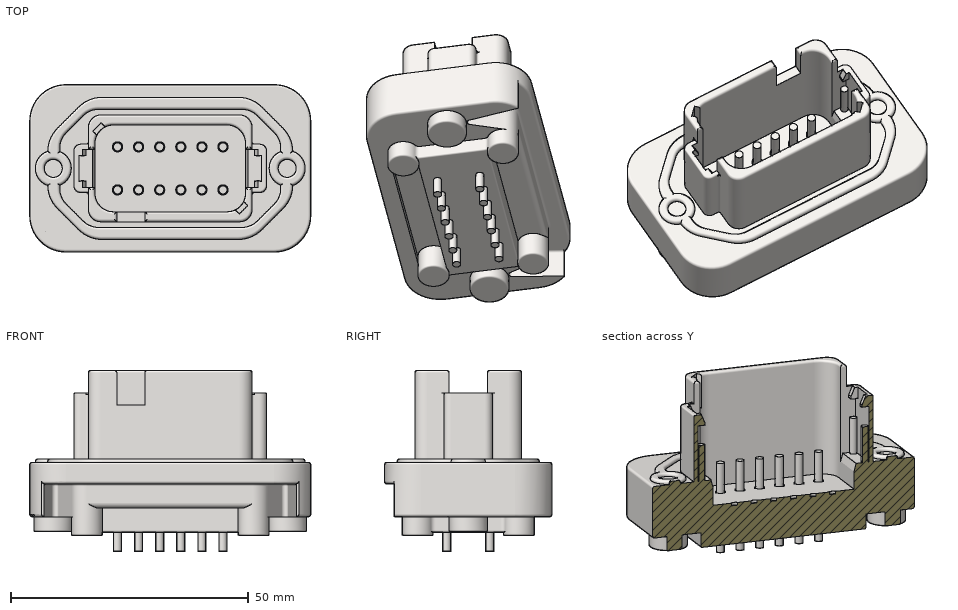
import cadquery as cq
import math


flange_length = 59.2
flange_width = 35.3
flange_height = 11.5
flange_corner = 7.7
edge_round = 0.55

shroud_height = 19.35
shroud_length = 34.45
shroud_width = 22.5
shroud_corner = 2.6
cavity_length = 31.75
cavity_width = 18.3
cavity_corner = 3.9
cavity_floor = -5.6
rim_round = 0.55

housing_height = 14.6
housing_reach = 20.3
housing_width = 10.2
housing_corner = 1.5
housing_root = 0.5
housing_rim_round = 0.35
latch_space_reach = 19.25
latch_space_width = 8.05
latch_sill_width = 0.5
latch_sill_depth = 1.8
latch_gap = 5.3
lug_depth = 1.55
lug_rim = 0.7
lug_base = 12.15
lug_ramp_base = 12.75
post_radius = 0.75
post_height = 7.9

notch_width = 5.9
notch_center_x = -8.3
notch_floor = 12.0
key_width = 2.5
key_depth = 1.0
key_floor = 12.0

pins_per_row = 6
pin_pitch = 4.45
pin_row_spacing = 9.05
pin_diameter = 1.7
pin_top = 0.9
pin_bottom = -18.75
pin_recess_radius = 1.05
pin_recess_depth = 0.6

ridge_height = 0.7
ridge_length = 51.65
ridge_width = 29.95
ridge_outer_cut = 8.6
ridge_inner_cut = 6.3
ridge_outer_bend = 7.1
ridge_inner_bend = 4.55
ridge_band = 2.55
ridge_round = 0.56
screw_x = 24.65
ring_outer = 3.8
ring_inner = 1.9

lip_depth = 4.55
front_setback = 2.0
leg_spacing_x = 35.1
leg_spacing_y = 21.3
leg_diameter = 6.6
leg_bottom = -15.45
boss_radius = 4.1
boss_bottom = -14.6
foot_round = 0.35
web_bottom = -9.65
web_round = 1.05
body_length = 37.3
body_width = 15.4
body_blend = 1.05
body_bottom = -14.75
pocket_mouth_x = 26.65
pocket_tip_x = 24.45
pocket_wall_angle = 22.0
pocket_tip_round = 0.7

leg_x = leg_spacing_x / 2
leg_y = leg_spacing_y / 2
leg_radius = leg_diameter / 2
web_y = leg_y + leg_radius
front_setback_y = front_setback - flange_width / 2


def rounded_block(length, width, corner, bottom, top):
    block = cq.Workplane("XY").workplane(offset=bottom).rect(length, width).extrude(top - bottom)
    return block.edges("|Z").fillet(corner)


def box_between(x0, x1, y0, y1, z0, z1):
    return cq.Workplane("XY").box(x1 - x0, y1 - y0, z1 - z0, centered=False).translate((x0, y0, z0))


def both_ends(solid):
    return solid.union(solid.mirror("YZ"))


def both_sides(solid):
    return solid.union(solid.mirror("XZ"))


def cylinder(x, y, radius, bottom, top):
    return cq.Workplane("XY").workplane(offset=bottom).center(x, y).circle(radius).extrude(top - bottom)


def make_flange():
    """Full plate on top of a skirt that is set back and opened at the front."""
    plate = rounded_block(flange_length, flange_width, flange_corner, -lip_depth, 0)
    plate = plate.faces(">Z or <Z").edges().fillet(edge_round)
    skirt = rounded_block(flange_length, flange_width, flange_corner, -flange_height, -edge_round)
    skirt = skirt.faces("<Z").edges().fillet(edge_round)
    beyond_x = flange_length / 2 + edge_round
    beyond_y = -flange_width / 2 - edge_round
    opening = box_between(-beyond_x, beyond_x, beyond_y, front_setback_y, -flange_height, -lip_depth)
    opening = opening.union(box_between(-leg_x, leg_x, beyond_y, -web_y, -flange_height, -lip_depth))
    opening = opening.union(both_ends(corner_pocket())).faces(">Z").edges().fillet(edge_round)
    setback = box_between(-beyond_x, beyond_x, beyond_y, front_setback_y, -flange_height, 0)
    return plate.union(skirt.cut(setback).cut(opening)).cut(make_belly_recess())


def corner_pocket():
    """V-shaped pocket outside a leg, open to the front and below the lip."""
    angle = math.radians(pocket_wall_angle)
    tangent_x = leg_x + leg_radius * math.cos(angle)
    tangent_y = -leg_y - leg_radius * math.sin(angle)
    tip_y = tangent_y + (pocket_tip_x - tangent_x) / math.tan(angle)
    arc_middle = (angle + math.pi / 2) / 2
    pocket = (
        cq.Workplane("XY").workplane(offset=-flange_height)
        .moveTo(tangent_x, tangent_y)
        .lineTo(pocket_tip_x, tip_y)
        .lineTo(pocket_mouth_x, front_setback_y)
        .lineTo(leg_x, front_setback_y)
        .lineTo(leg_x, -web_y)
        .threePointArc(
            (leg_x + leg_radius * math.cos(arc_middle), -leg_y - leg_radius * math.sin(arc_middle)),
            (tangent_x, tangent_y),
        )
        .close().extrude(flange_height - lip_depth)
    )
    tip_edge = cq.selectors.NearestToPointSelector((pocket_tip_x, tip_y, -(flange_height + lip_depth) / 2))
    return pocket.edges(tip_edge).fillet(pocket_tip_round)


def make_belly_recess():
    """Shallow recess between the legs, which leaves the web with a rounded front edge."""
    recess = box_between(-leg_x, leg_x, -web_y, web_y, -flange_height, web_bottom)
    edge_bar = box_between(-leg_x, leg_x, -web_y, -web_y + web_round, web_bottom, web_bottom + web_round)
    edge_roll = (
        cq.Workplane("YZ").center(-web_y + web_round, web_bottom + web_round)
        .circle(web_round).extrude(leg_x, both=True)
    )
    return recess.union(edge_bar.cut(edge_roll))


def make_feet():
    """Body around the pins, four legs and a boss below each screw ring."""
    half_length = body_length / 2
    half_width = body_width / 2
    body = box_between(-half_length, half_length, -half_width, half_width, body_bottom, -lip_depth)
    body = body.union(both_ends(both_sides(cylinder(leg_x, leg_y, leg_radius, body_bottom, -lip_depth))))
    leg_rise = math.sqrt(leg_radius**2 - (half_length - leg_x)**2)
    for end in (-1, 1):
        for side in (-1, 1):
            joint = (end * half_length, side * (leg_y - leg_rise), (body_bottom - lip_depth) / 2)
            body = body.edges(cq.selectors.NearestToPointSelector(joint)).fillet(body_blend)
    body = body.faces("<Z").edges().fillet(foot_round)
    leg = cylinder(leg_x, leg_y, leg_radius, leg_bottom, -lip_depth).faces("<Z").edges().fillet(foot_round)
    boss = cylinder(screw_x, 0, boss_radius, boss_bottom, -lip_depth).faces("<Z").edges().fillet(foot_round)
    return body.union(both_ends(both_sides(leg))).union(both_ends(boss))


def octagon(length, width, corner_cut, bend):
    block = box_between(-length / 2, length / 2, -width / 2, width / 2, 0, ridge_height)
    return block.edges("|Z").chamfer(corner_cut).edges("|Z").fillet(bend)


def make_ridge():
    """Sealing ridge that runs into a small ring around each screw position."""
    outer = octagon(ridge_length, ridge_width, ridge_outer_cut, ridge_outer_bend)
    inner_length = ridge_length - 2 * ridge_band
    inner_width = ridge_width - 2 * ridge_band
    inner = octagon(inner_length, inner_width, ridge_inner_cut, ridge_inner_bend)
    ridge = outer.cut(inner).faces(">Z").edges().fillet(ridge_round)
    ring = cylinder(screw_x, 0, ring_outer, 0, ridge_height)
    ring = ring.cut(cylinder(screw_x, 0, ring_inner, 0, ridge_height))
    ring = ring.faces(">Z").edges().fillet(ridge_round)
    eye = cylinder(screw_x, 0, ring_inner + ridge_round, 0, ridge_height)
    return ridge.cut(both_ends(eye)).union(both_ends(ring))


def make_shroud():
    """Hollow shroud wall with its keying features, open at both ends towards the latch housings."""
    wall = rounded_block(shroud_length, shroud_width, shroud_corner, 0, shroud_height)
    half_space = latch_space_width / 2
    entry = box_between(-shroud_length / 2, shroud_length / 2, -half_space, half_space, 0, shroud_height)
    notch = box_between(notch_center_x - notch_width / 2, notch_center_x + notch_width / 2,
                        -shroud_width / 2, 0, notch_floor, shroud_height)
    wall = wall.cut(make_cavity()).cut(entry).cut(notch)
    return wall.faces(">Z").edges().fillet(rim_round).cut(make_keys())


def make_cavity():
    """Space inside the shroud, which reaches down into the flange."""
    return rounded_block(cavity_length, cavity_width, cavity_corner, cavity_floor, shroud_height)


def make_sill():
    """Bevel at the foot of the +X latch space."""
    edge_x = cavity_length / 2
    return (
        cq.Workplane("XZ")
        .moveTo(edge_x, 0)
        .lineTo(edge_x + latch_sill_width, 0)
        .lineTo(edge_x, -latch_sill_depth)
        .close().extrude(latch_space_width / 2, both=True)
    )


def make_housing():
    """Latch housing on the +X end, open towards the cavity."""
    inner_x = cavity_length / 2
    wall = rounded_block(2 * housing_reach, housing_width, housing_corner, 0, housing_height)
    wall = wall.faces(">Z").edges().fillet(housing_rim_round)
    half_length = shroud_length / 2
    half_width = housing_width / 2
    root_x = half_length + housing_root
    root_y = half_width + housing_root
    root = box_between(half_length, root_x, half_width, root_y, 0, housing_height)
    root = root.cut(cylinder(root_x, root_y, housing_root, 0, housing_height))
    half_space = latch_space_width / 2
    latch_space = box_between(0, latch_space_reach, -half_space, half_space, 0, housing_height)
    wall = wall.union(both_sides(root)).cut(latch_space)
    return wall.intersect(box_between(inner_x, housing_reach, -shroud_width, shroud_width, 0, housing_height))


def make_keys():
    """Slots across two opposite rounded corners of the cavity."""
    corner_x = cavity_length / 2 - cavity_corner
    corner_y = cavity_width / 2 - cavity_corner
    slot = box_between(0, cavity_corner + key_depth, -key_width / 2, key_width / 2, key_floor, shroud_height)
    slot = slot.rotate((0, 0, 0), (0, 0, 1), -45).translate((corner_x, -corner_y, 0))
    return slot.union(slot.rotate((0, 0, 0), (0, 0, 1), 180))


def make_latches():
    """Ramped lugs in the four corners of the latch spaces, each above a short post."""
    lug_width = (latch_space_width - latch_gap) / 2
    lug_tip = latch_space_reach - lug_depth
    lug = (
        cq.Workplane("XZ").workplane(offset=-latch_space_width / 2)
        .moveTo(latch_space_reach, lug_base)
        .lineTo(latch_space_reach, housing_height)
        .lineTo(latch_space_reach - lug_rim, housing_height)
        .lineTo(lug_tip, lug_ramp_base)
        .lineTo(lug_tip, lug_base)
        .close().extrude(lug_width)
    )
    post_y = (latch_gap + lug_width) / 2
    post = cylinder(latch_space_reach - post_radius, post_y, post_radius, 0, post_height)
    return both_ends(both_sides(lug.union(post)))


pin_points = [
    ((column - (pins_per_row - 1) / 2) * pin_pitch, side * pin_row_spacing / 2)
    for column in range(pins_per_row)
    for side in (-1, 1)
]


def at_pins(radius, bottom, top):
    plane = cq.Workplane("XY").workplane(offset=bottom)
    return plane.pushPoints(pin_points).circle(radius).extrude(top - bottom)


base = make_flange().union(make_feet()).union(make_ridge())
base = base.cut(make_cavity()).cut(both_ends(make_sill()))
base = base.cut(at_pins(pin_recess_radius, cavity_floor - pin_recess_depth, cavity_floor))
shroud = make_shroud().union(both_ends(make_housing())).union(make_latches())
result = base.union(shroud).union(at_pins(pin_diameter / 2, pin_bottom, pin_top))